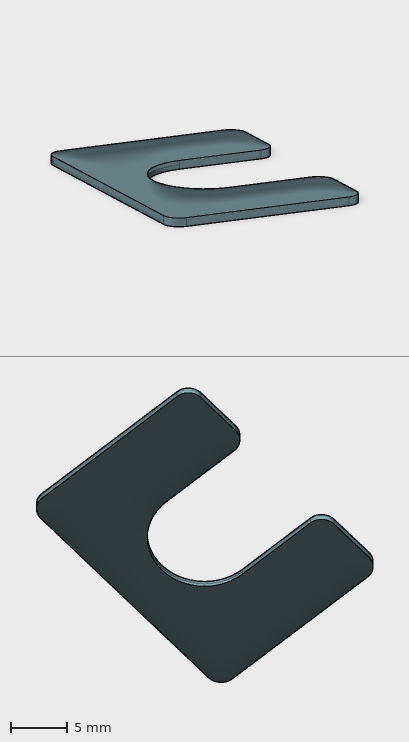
import cadquery as cq

length = 25.4
width = 19.05
thickness = 0.81
corner_radius = 1.5
slot_width = 10.15
slot_floor = 4.42

slot_radius = slot_width / 2
slot_center_y = -width / 2 + slot_floor + slot_radius
open_edge_y = width / 2
slot_length = open_edge_y - slot_center_y


def make_plate():
    return cq.Workplane("XY").box(length, width, thickness)


def make_slot():
    """Round-ended slot that opens through the +Y edge."""
    round_end = (
        cq.Workplane("XY")
        .center(0, slot_center_y)
        .circle(slot_radius)
        .extrude(thickness, both=True)
    )
    straight_run = (
        cq.Workplane("XY")
        .center(0, slot_center_y + slot_length / 2)
        .rect(slot_width, slot_length)
        .extrude(thickness, both=True)
    )
    return round_end.union(straight_run)


slotted_plate = make_plate().cut(make_slot())
outer_corners = slotted_plate.edges("|Z and (<X or >X or >Y)")
result = outer_corners.fillet(corner_radius)